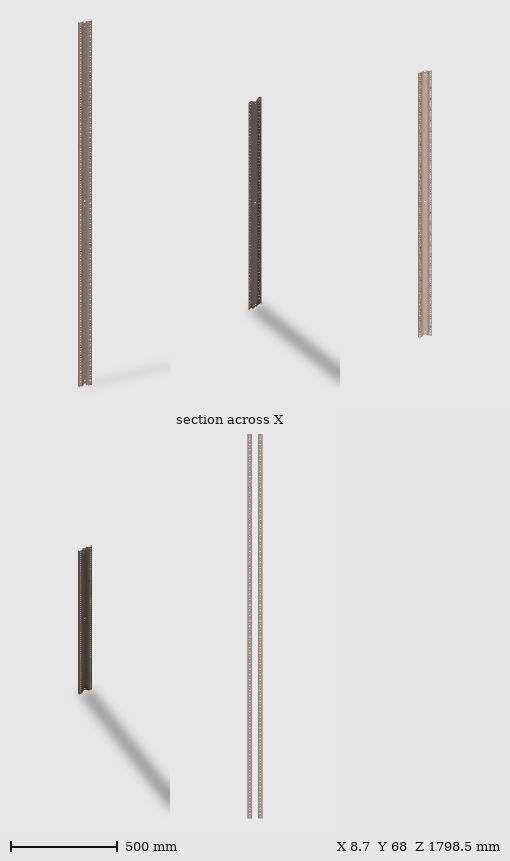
import cadquery as cq
import math

DEPTH = 8.7
WIDTH = 68.01
LENGTH = 1798.5
SHEET = 1.5
INNER_BEND = 1.5
OUTER_BEND = INNER_BEND + SHEET

CROWN_HALF_WIDTH = 11.0
WALL_ANGLE = 47.0

HOLE_STEP = 12.5
HOLE_COUNT = 143
HOLE_Y = 25.0
SMALL_HOLE = 4.0
LARGE_HOLE = 6.5

SMALL_MOUNT_HOLE = 5.0
SMALL_MOUNT_STEPS = [2, 73]
LARGE_MOUNT_HOLE = 9.5
LARGE_MOUNT_STEPS = [71, 142]

NOTCH_WIDTH = 12.0
NOTCH_DEPTH = 8.5

TOP = LENGTH / 2
X_FRONT = -DEPTH / 2
X_BACK = DEPTH / 2


def rail_body():
    """Extruded section with every bend rounded on both faces of the sheet."""
    edge_y = WIDTH / 2
    wall_run = (DEPTH - SHEET) / math.tan(math.radians(WALL_ANGLE))
    foot_y = CROWN_HALF_WIDTH + wall_run
    back_shift = SHEET * math.tan(math.radians(WALL_ANGLE / 2))

    crown_front = (X_FRONT, CROWN_HALF_WIDTH)
    crown_back = (X_FRONT + SHEET, CROWN_HALF_WIDTH - back_shift)
    foot_front = (X_BACK - SHEET, foot_y)
    foot_back = (X_BACK, foot_y - back_shift)
    lip_inside = (X_BACK - SHEET, edge_y - SHEET)
    lip_outside = (X_BACK, edge_y)
    lip_end_inside = (X_FRONT, edge_y - SHEET)
    lip_end_outside = (X_FRONT, edge_y)

    half = [
        crown_front, foot_front, lip_inside, lip_end_inside,
        lip_end_outside, lip_outside, foot_back, crown_back,
    ]
    mirrored = [(x, -y) for x, y in reversed(half)]
    body = cq.Workplane("XY").polyline(half + mirrored).close().extrude(TOP, both=True)

    body = round_corners(body, [crown_front, foot_back, lip_outside], OUTER_BEND)
    return round_corners(body, [crown_back, foot_front, lip_inside], INNER_BEND)


def round_corners(body, corners, radius):
    """Fillet the lengthwise edges at the given section corners and at their mirror images."""
    for x, y in corners:
        for side in (1, -1):
            nearest = cq.selectors.NearestToPointSelector((x, side * y, 0))
            body = body.edges("|Z").edges(nearest).fillet(radius)
    return body


def hole_cutters(places, diameter):
    """Cylinders along X through the whole depth, centred at the given (y, z) places."""
    plane = cq.Workplane("YZ", origin=(X_FRONT, 0, 0))
    return plane.pushPoints(places).circle(diameter / 2).extrude(DEPTH)


def height_at(step):
    """Z of a place that lies the given number of hole steps below the top end."""
    return TOP - step * HOLE_STEP


def cut_web_holes(body):
    small_steps = range(1, HOLE_COUNT + 1, 2)
    large_steps = range(2, HOLE_COUNT + 1, 2)
    for diameter, steps in ((SMALL_HOLE, small_steps), (LARGE_HOLE, large_steps)):
        places = [(y, height_at(step)) for y in (HOLE_Y, -HOLE_Y) for step in steps]
        body = body.cut(hole_cutters(places, diameter))
    return body


def cut_mount_holes(body):
    for diameter, steps in ((SMALL_MOUNT_HOLE, SMALL_MOUNT_STEPS), (LARGE_MOUNT_HOLE, LARGE_MOUNT_STEPS)):
        places = [(0, height_at(step)) for step in steps]
        body = body.cut(hole_cutters(places, diameter))
    return body


def cut_end_notches(body):
    slot_length = 2 * NOTCH_DEPTH
    plane = cq.Workplane("YZ", origin=(X_FRONT, 0, 0))
    slots = plane.pushPoints([(0, TOP), (0, -TOP)]).slot2D(slot_length, NOTCH_WIDTH, angle=90)
    return body.cut(slots.extrude(DEPTH))


result = cut_end_notches(cut_mount_holes(cut_web_holes(rail_body())))